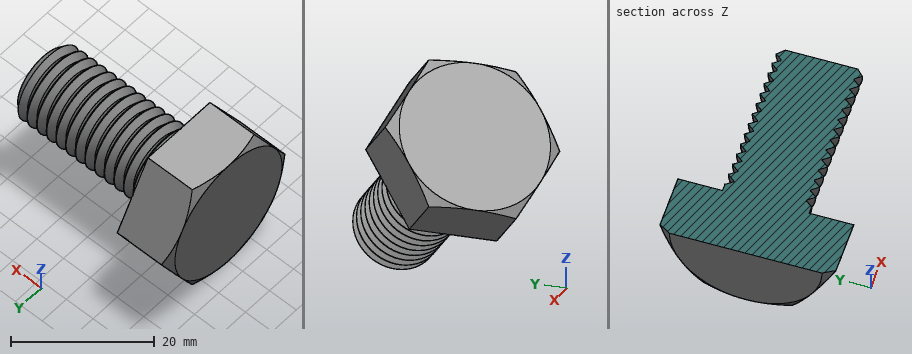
import cadquery as cq
import math

total_length = 34.65
head_height = 9.25
across_flats = 22.25
head_chamfer_angle = 30.0

shank_diameter = 12.7
root_diameter = 10.6
thread_pitch = 1.8
crest_width = 0.125
plain_shank_length = 1.07
groove_count = 13
tip_chamfer = 1.07

across_corners = across_flats / math.cos(math.radians(30))
shank_radius = shank_diameter / 2
root_radius = root_diameter / 2
groove_width = thread_pitch - crest_width
thread_start = head_height + plain_shank_length


def revolve_about_x(profile):
    """Turn a closed XY profile into a solid of revolution about the X axis."""
    return profile.close().revolve(360, (0, 0, 0), (1, 0, 0))


def make_head():
    """Hexagon with corners on the Y axis, its corners cut back by a cone at the head face."""
    hexagon = cq.Workplane("YZ").polygon(6, across_corners).extrude(head_height)
    face_radius = across_flats / 2
    cone_slope = math.tan(math.radians(head_chamfer_angle))
    rear_radius = face_radius + head_height / cone_slope
    cone = revolve_about_x(
        cq.Workplane("XY")
        .lineTo(0, face_radius)
        .lineTo(head_height, rear_radius)
        .lineTo(head_height, 0)
    )
    return hexagon.intersect(cone)


def make_shank():
    """Cylinder with a 45 degree chamfer at the tip."""
    length = total_length - head_height
    shank = cq.Workplane("YZ", origin=(head_height, 0, 0)).circle(shank_radius).extrude(length)
    return shank.faces(">X").chamfer(tip_chamfer)


def make_groove(start):
    """V-shaped ring whose flanks run straight on past the shank surface."""
    overshoot = 0.35
    root_x = start + groove_width / 2
    outer_radius = shank_radius + overshoot
    flank_slope = (groove_width / 2) / (shank_radius - root_radius)
    half_width = flank_slope * (outer_radius - root_radius)
    return revolve_about_x(
        cq.Workplane("XY")
        .moveTo(root_x - half_width, outer_radius)
        .lineTo(root_x, root_radius)
        .lineTo(root_x + half_width, outer_radius)
    )


shank = make_shank()
for index in range(groove_count):
    shank = shank.cut(make_groove(thread_start + index * thread_pitch))

result = make_head().union(shank)